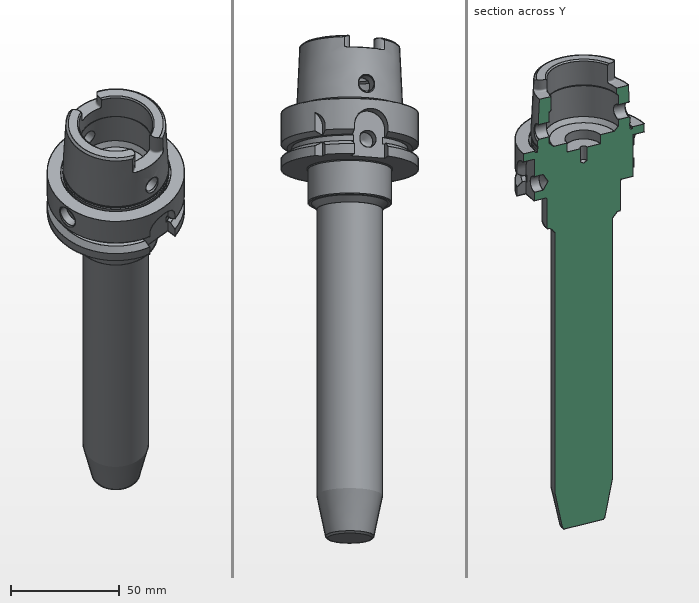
import cadquery as cq
import math

TOP_Z = 232.0
TIP_CONE_TOP_Z = 20.0
SHOULDER_BOTTOM_Z = 155.0
BODY_BOTTOM_Z = 157.7
FLANGE_BOTTOM_Z = 174.0
RIM_TOP_Z = 178.5
GROOVE_BOTTOM_Z = 180.7
GROOVE_TOP_Z = 183.7
COLLAR_BOTTOM_Z = 185.5
RECESS_FLOOR_Z = 199.0
FLANGE_TOP_Z = 200.0
RELIEF_BOTTOM_Z = 200.4
RELIEF_CONE_BOTTOM_Z = 200.8
RELIEF_CONE_TOP_Z = 201.5
TAPER_BOTTOM_Z = 202.2

TIP_RADIUS = 11.1
TIP_CHAMFER = 1.0
SHANK_RADIUS = 15.0
SHOULDER_RADIUS = 17.6
BODY_RADIUS = 19.2
BODY_CHAMFER = 0.5
FLANGE_RADIUS = 31.5
GROOVE_RADIUS = 26.7
GROOVE_SHOULDER_RADIUS = 28.8
RECESS_RADIUS = 25.3
RELIEF_RADIUS = 24.0
TAPER_BOTTOM_RADIUS = 24.3
TAPER_TOP_RADIUS = 23.0
TOP_EDGE_RADIUS = 21.8
TOP_EDGE_HEIGHT = 1.0

SOCKET_RADIUS = 17.0
SOCKET_MOUTH_CHAMFER = 0.7
CLAMP_RADIUS = 17.9
CLAMP_TOP_Z = 219.0
SOCKET_FLOOR_RADIUS = 15.8
SOCKET_FLOOR_Z = FLANGE_TOP_Z
COUNTERBORE_RADIUS = 8.5
COUNTERBORE_FLOOR_Z = SOCKET_FLOOR_Z - 4.6
COOLANT_HOLE_RADIUS = 1.6
COOLANT_HOLE_DEPTH = 7.0

DRIVE_SLOT_WIDTH = 12.5
SHALLOW_SLOT_DEPTH = 5.8
DEEP_SLOT_DEPTH = 10.0
SLOT_EDGE_RADIUS = 3.5
SLOT_EDGE_END_X = 20.9
SLOT_FLOOR_FILLET = 1.0

CROSS_HOLE_Z = 209.2
CROSS_HOLE_RADIUS = 3.7
CROSS_HOLE_FACE_X = 24.1

ARCH_RADIUS = 8.1
ARCH_CENTRE_Z = 187.4
KEYWAY_FLOOR_X = 25.7
NOTCH_FLOOR_X = 20.6
NOTCH_EDGE_Y = 20.2
KEYWAY_HOLE_Z = 182.5
KEYWAY_HOLE_RADIUS = 4.0
KEYWAY_HOLE_DEPTH = 4.6

CHIP_Z = 193.0
CHIP_RADIUS = 4.9
CHIP_DEPTH = 4.6
CHIP_PIN_RADIUS = 0.35
CHIP_PIN_DEPTH = 1.0

HOLE_CHAMFER = 0.7
CUT_CLEARANCE = 1.2
DRILL_POINT_HALF_ANGLE = 59.0


def revolve_profile(points):
    """Solid of revolution about Z from (radius, height) points."""
    return cq.Workplane("XZ").polyline(points).close().revolve(360, (0, 0), (0, 1))


def drilled_hole(mouth, direction, radius, depth):
    """Blind round hole ending in a drill point."""
    point_height = radius / math.tan(math.radians(DRILL_POINT_HALF_ANGLE))
    barrel = cq.Solid.makeCylinder(radius, depth, mouth, direction)
    point = cq.Solid.makeCone(radius, 0, point_height, mouth + direction * depth, direction)
    return cq.Workplane(barrel.fuse(point))


def chamfered_hole(mouth, direction, radius, depth):
    """Flat-ended round hole with a 45 degree chamfer at its mouth."""
    start = mouth - direction * CUT_CLEARANCE
    flare = HOLE_CHAMFER + CUT_CLEARANCE
    barrel = cq.Solid.makeCylinder(radius, depth + CUT_CLEARANCE, start, direction)
    chamfer = cq.Solid.makeCone(radius + flare, radius, flare, start, direction)
    return cq.Workplane(barrel.fuse(chamfer))


def make_body():
    return revolve_profile([
        (0, 0),
        (TIP_RADIUS - TIP_CHAMFER, 0),
        (TIP_RADIUS, TIP_CHAMFER),
        (SHANK_RADIUS, TIP_CONE_TOP_Z),
        (SHANK_RADIUS, SHOULDER_BOTTOM_Z),
        (SHOULDER_RADIUS, BODY_BOTTOM_Z),
        (BODY_RADIUS - BODY_CHAMFER, BODY_BOTTOM_Z),
        (BODY_RADIUS, BODY_BOTTOM_Z + BODY_CHAMFER),
        (BODY_RADIUS, FLANGE_BOTTOM_Z - BODY_CHAMFER),
        (BODY_RADIUS + BODY_CHAMFER, FLANGE_BOTTOM_Z),
        (FLANGE_RADIUS, FLANGE_BOTTOM_Z),
        (FLANGE_RADIUS, RIM_TOP_Z),
        (GROOVE_SHOULDER_RADIUS, GROOVE_BOTTOM_Z),
        (GROOVE_RADIUS, GROOVE_BOTTOM_Z),
        (GROOVE_RADIUS, GROOVE_TOP_Z),
        (GROOVE_SHOULDER_RADIUS, GROOVE_TOP_Z),
        (FLANGE_RADIUS, COLLAR_BOTTOM_Z),
        (FLANGE_RADIUS, FLANGE_TOP_Z),
        (RECESS_RADIUS, FLANGE_TOP_Z),
        (RECESS_RADIUS, RECESS_FLOOR_Z),
        (TAPER_BOTTOM_RADIUS, RECESS_FLOOR_Z),
        (TAPER_BOTTOM_RADIUS, RELIEF_BOTTOM_Z),
        (RELIEF_RADIUS, RELIEF_CONE_BOTTOM_Z),
        (RELIEF_RADIUS, RELIEF_CONE_TOP_Z),
        (TAPER_BOTTOM_RADIUS, TAPER_BOTTOM_Z),
        (TAPER_TOP_RADIUS, TOP_Z - TOP_EDGE_HEIGHT),
        (TOP_EDGE_RADIUS, TOP_Z),
        (0, TOP_Z),
    ])


def make_socket():
    socket = revolve_profile([
        (0, COUNTERBORE_FLOOR_Z),
        (COUNTERBORE_RADIUS, COUNTERBORE_FLOOR_Z),
        (COUNTERBORE_RADIUS, SOCKET_FLOOR_Z),
        (SOCKET_FLOOR_RADIUS, SOCKET_FLOOR_Z),
        (CLAMP_RADIUS, SOCKET_FLOOR_Z + CLAMP_RADIUS - SOCKET_FLOOR_RADIUS),
        (CLAMP_RADIUS, CLAMP_TOP_Z - (CLAMP_RADIUS - SOCKET_RADIUS)),
        (SOCKET_RADIUS, CLAMP_TOP_Z),
        (SOCKET_RADIUS, TOP_Z - SOCKET_MOUTH_CHAMFER),
        (SOCKET_RADIUS + SOCKET_MOUTH_CHAMFER, TOP_Z),
        (0, TOP_Z),
    ])
    mouth = cq.Vector(0, 0, COUNTERBORE_FLOOR_Z)
    coolant_hole = drilled_hole(mouth, cq.Vector(0, 0, -1), COOLANT_HOLE_RADIUS, COOLANT_HOLE_DEPTH)
    return socket.union(coolant_hole)


def make_drive_slot(side, depth):
    """Slot through the wall on one X side, with rounded outer wall edges and a filleted floor."""
    half = DRIVE_SLOT_WIDTH / 2
    wide = half + SLOT_EDGE_RADIUS
    edge_end = side * SLOT_EDGE_END_X
    edge_start = side * (SLOT_EDGE_END_X - SLOT_EDGE_RADIUS)
    outside = side * FLANGE_RADIUS
    bend = side * SLOT_EDGE_RADIUS
    slot = (
        cq.Workplane("XY", origin=(0, 0, TOP_Z - depth))
        .moveTo(0, -half)
        .lineTo(edge_start, -half)
        .radiusArc((edge_end, -wide), bend)
        .lineTo(outside, -wide)
        .lineTo(outside, wide)
        .lineTo(edge_end, wide)
        .radiusArc((edge_start, half), bend)
        .lineTo(0, half)
        .close()
        .extrude(depth)
    )
    end_edges = cq.selectors.ParallelDirSelector(cq.Vector(0, 1, 0))
    wall_edges = slot.faces("<Z").edges(cq.selectors.InverseSelector(end_edges))
    return wall_edges.fillet(SLOT_FLOOR_FILLET)


def make_cross_hole(side):
    mouth = cq.Vector(side * CROSS_HOLE_FACE_X, 0, CROSS_HOLE_Z)
    return chamfered_hole(mouth, cq.Vector(-side, 0, 0), CROSS_HOLE_RADIUS, CROSS_HOLE_FACE_X)


def make_arch(side, floor_x, centre_y):
    """Round-topped cutter, open downwards and towards one X side."""
    return (
        cq.Workplane("YZ", origin=(side * floor_x, centre_y, 0))
        .moveTo(-ARCH_RADIUS, FLANGE_BOTTOM_Z)
        .lineTo(-ARCH_RADIUS, ARCH_CENTRE_Z)
        .threePointArc((0, ARCH_CENTRE_Z + ARCH_RADIUS), (ARCH_RADIUS, ARCH_CENTRE_Z))
        .lineTo(ARCH_RADIUS, FLANGE_BOTTOM_Z)
        .close()
        .extrude(side * FLANGE_RADIUS)
    )


def make_keyway_hole():
    mouth = cq.Vector(-KEYWAY_FLOOR_X, 0, KEYWAY_HOLE_Z)
    return drilled_hole(mouth, cq.Vector(1, 0, 0), KEYWAY_HOLE_RADIUS, KEYWAY_HOLE_DEPTH)


def make_chip_pocket():
    inward = cq.Vector(0, 1, 0)
    mouth = cq.Vector(0, -FLANGE_RADIUS, CHIP_Z)
    pocket = chamfered_hole(mouth, inward, CHIP_RADIUS, CHIP_DEPTH)
    pin_hole = cq.Solid.makeCylinder(CHIP_PIN_RADIUS, CHIP_DEPTH + CHIP_PIN_DEPTH, mouth, inward)
    return pocket.union(cq.Workplane(pin_hole))


result = make_body().cut(make_socket())

result = result.cut(make_drive_slot(-1, SHALLOW_SLOT_DEPTH))
result = result.cut(make_drive_slot(1, DEEP_SLOT_DEPTH))
for side in (-1, 1):
    result = result.cut(make_cross_hole(side))

for side in (-1, 1):
    result = result.cut(make_arch(side, KEYWAY_FLOOR_X, 0))
result = result.cut(make_arch(-1, NOTCH_FLOOR_X, NOTCH_EDGE_Y + ARCH_RADIUS))
result = result.cut(make_keyway_hole())
result = result.cut(make_chip_pocket())